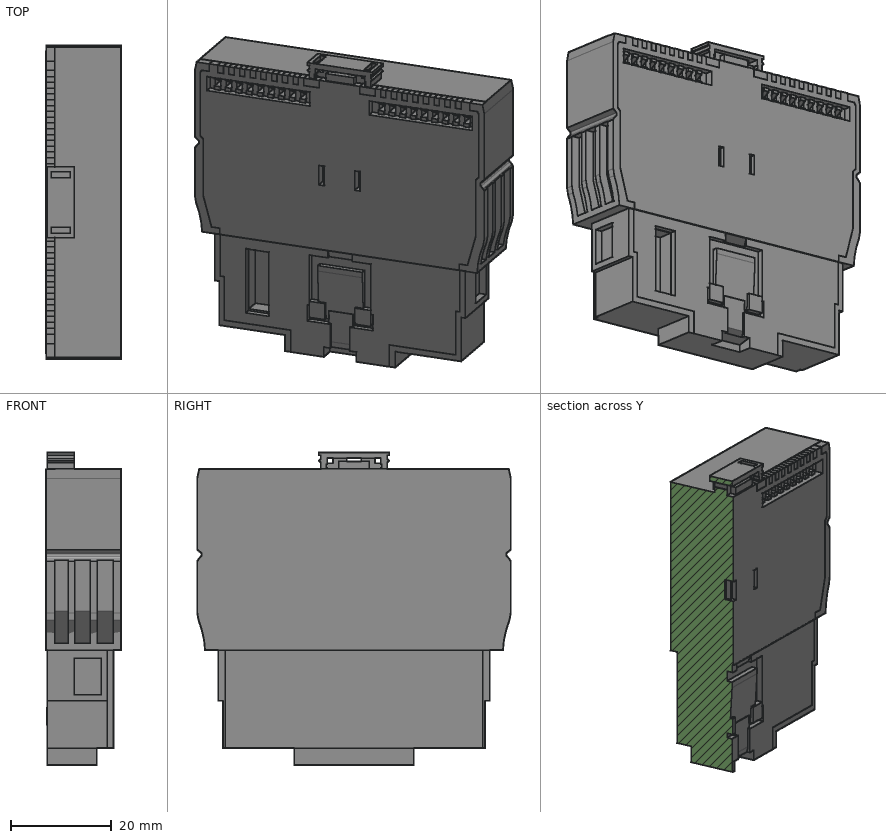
import cadquery as cq


THICKNESS = 14.9
HALF_WIDTH = 31.1
TOTAL_HEIGHT = 62.0
HOUSING_TOP = 58.75
HOUSING_BOTTOM = 22.8

TOP_HALF_WIDTH = 30.7
TOP_SLOPE_Z = 56.9
NOTCH_TOP_Z = 42.75
NOTCH_APEX_Z = 41.75
NOTCH_BOTTOM_Z = 40.9
NOTCH_DEPTH = 0.9
NOTCH_ROUND_DEPTH = 0.755
NOTCH_ROUND_HALF_HEIGHT = 0.35
NOTCH_CHAMFER_DEPTH = 0.3
NOTCH_CHAMFER_Z = 40.45
TAPER_START_Z = 30.2
TAPER_CURVE_START = (30.85, 28.8)
TAPER_CURVE_MIDDLE = (30.1, 26.5)
HOUSING_FOOT_HALF_WIDTH = 29.55

RIM_RECESS = 0.04
COVER_TOP_Z = 57.1
COVER_HALF_WIDTH = 29.95
COVER_CORNER = 0.35
COVER_STEP_Z = 43.2
COVER_STEP_WIDTH = 0.65
COVER_TAPER_Z = 30.6
COVER_FOOT_HALF_WIDTH = 27.5
COVER_FOOT_Z = 24.15
COVER_STEM_HALF_WIDTH = 25.75
FINGER_LENGTH = 1.8
FINGER_RISE = 0.04
FINGER_DROP = 0.04
FINGER_PITCH = 2.3
FINGER_COUNT = 8
FINGER_WIDTH = 1.15
FIRST_FINGER_Y = 8.25
OUTER_FINGER_Y = 27.1
OUTER_FINGER_WIDTH = 1.8
CENTER_FINGER_WIDTH = 8.7

WINDOW_INNER_Y = 6.35
WINDOW_OUTER_Y = 28.5
WINDOW_BOTTOM_Z = 52.95
WINDOW_TOP_Z = 55.9
WINDOW_DEPTH = 1.7
TERMINAL_COUNT = 9
TERMINAL_PITCH = 2.29
FIRST_TERMINAL_Y = 8.45
TERMINAL_WIDTH = 1.2
TERMINAL_FACE_X = 1.2
FUNNEL_BOTTOM_Z = 53.7
FUNNEL_TOP_Z = 55.25
FUNNEL_DEPTH = 3.0

SLOT_Y = 3.85
SLOT_WIDTH = 1.15
SLOT_BOTTOM_Z = 36.5
SLOT_HEIGHT = 4.1
SLOT_DEPTH = 2.0
SLOT_STEP_DEPTH = 1.0
SLOT_STEP_WIDTH = 0.5

GRIP_CHANNELS = [(1.75, 4.4), (5.75, 8.8), (10.2, 13.3)]
GRIP_TOP_Z = 40.6
GRIP_FLOOR_Y = COVER_HALF_WIDTH - COVER_STEP_WIDTH

LOWER_FRONT_X = 0.26
LOWER_MAIN_X = 12.15
LOWER_BACK_X = 13.4
LOWER_HALF_WIDTH = 26.95
LOWER_STEP_Z = 12.75
LOWER_STEP_HALF_WIDTH = 26.0
BACK_HALF_WIDTH = 25.5
LOWER_BOTTOM_Z = 3.4
FOOT_HALF_WIDTH = 11.85
FOOT_BACK_X = 10.1
PANEL_STEP_Z = 13.9
PANEL_STEP_HALF_WIDTH = 24.9
PANEL_BOTTOM_Z = 4.65
PANEL_FOOT_HALF_WIDTH = 10.55
END_POCKET_X = (5.6, 11.0)
END_POCKET_Z = (14.0, 21.2)
END_POCKET_DEPTH = 1.5

LABEL_Y = (15.3, 20.25)
LABEL_Z = (6.9, 20.5)
LABEL_STEP = 0.1
LABEL_SILL = 0.4
LABEL_STEP_DEPTH = 1.6
LABEL_DEPTH = 5.0

CAVITY_DEPTH_X = 1.5
CAVITY_HALF_WIDTH = 6.6
CAVITY_Z = (7.15, 21.2)
CAVITY_SIDE_HALF_WIDTH = 7.05
CAVITY_SIDE_TOP_Z = 10.5
PRY_SLOT_HALF_WIDTH = 2.6
PRY_SLOT_DEPTH = 0.7
LATCH_HALF_WIDTH = 4.8
LATCH_TOP_Z = 19.2
LATCH_EDGE_Z = 18.1
LATCH_EDGE_X = 0.3
LATCH_FOOT_X = 0.9
TAB_X = 0.2
TAB_Y = (3.25, 6.6)
TAB_Z = (8.0, 11.4)
TONGUE_TOP_Z = 9.8
GUIDE_HALF_WIDTH = 2.1
GUIDE_X = 0.7
GUIDE_FOOT_X = 0.95
GUIDE_SLOPE_Z = 3.35
MOUTH_HALF_WIDTH = 3.5
MOUTH_TOP_Z = 2.1
MOUTH_LIP_Z = 1.5
MOUTH_X = 3.5

PLUG_X = (0.25, 5.65)
PLUG_HALF_WIDTH = 6.6
PLUG_FLANGE = 0.4
PLUG_FLANGE_Z = 61.4
PLUG_RIB_Z = 60.35
PLUG_RIB_HALF_HEIGHT = 0.35
PLUG_OPENING_HALF_WIDTH = 5.3
PLUG_OPENING_TOP_Z = 60.85
PLUG_GROOVE = 0.2
PLUG_GROOVE_Z = (59.0, 59.7)
PLUG_FLOOR_Z = 59.9
PLUG_CORE_HALF_WIDTH = 3.0
PLUG_CORE_Z = 60.25
PLUG_PILLAR_Y = (1.4, 4.2)
PLUG_PILLAR_X = (1.5, 4.5)
PLUG_SLOT_X = (1.05, 4.8)
PLUG_SLOT_Y = (4.9, 6.1)
PLUG_SLOT_DEPTH = 0.9

SIDES = (1, -1)


def box(x, y, z):
    """Axis-aligned box from (low, high) pairs."""
    size = (x[1] - x[0], abs(y[1] - y[0]), z[1] - z[0])
    return cq.Workplane("XY").box(*size, centered=False).translate((x[0], min(y), z[0]))


def mirrored_box(x, y, z):
    """A box and its mirror image about Y = 0."""
    return box(x, y, z).union(box(x, (-y[0], -y[1]), z))


def prism_x(points, x_start, x_end):
    """Extrude a closed (Y, Z) polygon along X."""
    return cq.Workplane("YZ", origin=(x_start, 0, 0)).polyline(points).close().extrude(x_end - x_start)


def prism_y(points, half_width):
    """Extrude a closed (X, Z) polygon by the same amount to both sides of Y = 0."""
    return cq.Workplane("XZ").polyline(points).close().extrude(half_width, both=True)


def symmetric(points):
    """Complete a half outline, listed for positive Y, with its mirror image."""
    return points + [(-y, z) for y, z in reversed(points)]


def centered(half_width):
    return (-half_width, half_width)


def housing_half(x_start, x_end):
    """Positive-Y half of the housing: sloped top edge, rounded V notch and curved lower taper."""
    round_y = HALF_WIDTH - NOTCH_ROUND_DEPTH
    round_top_z = NOTCH_APEX_Z + NOTCH_ROUND_HALF_HEIGHT
    round_bottom_z = NOTCH_APEX_Z - NOTCH_ROUND_HALF_HEIGHT
    apex = (HALF_WIDTH - NOTCH_DEPTH, NOTCH_APEX_Z)
    return (
        cq.Workplane("YZ", origin=(x_start, 0, 0))
        .moveTo(0, HOUSING_TOP)
        .lineTo(TOP_HALF_WIDTH, HOUSING_TOP)
        .lineTo(HALF_WIDTH, TOP_SLOPE_Z)
        .lineTo(HALF_WIDTH, NOTCH_TOP_Z)
        .lineTo(round_y, round_top_z)
        .threePointArc(apex, (round_y, round_bottom_z))
        .lineTo(HALF_WIDTH - NOTCH_CHAMFER_DEPTH, NOTCH_BOTTOM_Z)
        .lineTo(HALF_WIDTH, NOTCH_CHAMFER_Z)
        .lineTo(HALF_WIDTH, TAPER_START_Z)
        .lineTo(*TAPER_CURVE_START)
        .threePointArc(TAPER_CURVE_MIDDLE, (HOUSING_FOOT_HALF_WIDTH, HOUSING_BOTTOM))
        .lineTo(0, HOUSING_BOTTOM)
        .close()
        .extrude(x_end - x_start)
    )


def make_cover():
    """Raised cover panel and the fingers that reach from it over the top edge."""
    step_half_width = COVER_HALF_WIDTH - COVER_STEP_WIDTH
    outline = symmetric([
        (COVER_HALF_WIDTH - COVER_CORNER, COVER_TOP_Z),
        (COVER_HALF_WIDTH, TOP_SLOPE_Z - COVER_CORNER),
        (COVER_HALF_WIDTH, COVER_STEP_Z),
        (step_half_width, COVER_STEP_Z - COVER_STEP_WIDTH),
        (step_half_width, COVER_TAPER_Z),
        (COVER_FOOT_HALF_WIDTH, COVER_FOOT_Z),
        (COVER_STEM_HALF_WIDTH, COVER_FOOT_Z),
        (COVER_STEM_HALF_WIDTH, HOUSING_BOTTOM),
    ])
    cover = prism_x(outline, 0, FINGER_LENGTH)
    fingers = [(0, CENTER_FINGER_WIDTH)]
    for side in SIDES:
        fingers.append((side * OUTER_FINGER_Y, OUTER_FINGER_WIDTH))
        for i in range(FINGER_COUNT):
            fingers.append((side * (FIRST_FINGER_Y + i * FINGER_PITCH), FINGER_WIDTH))
    finger_z = (COVER_TOP_Z, HOUSING_TOP - FINGER_DROP)
    for y, width in fingers:
        span = (y - width / 2, y + width / 2)
        cover = cover.union(box((0, FINGER_LENGTH), span, finger_z))
    return cover


def make_housing():
    half = housing_half(RIM_RECESS, THICKNESS)
    housing = half.union(half.mirror("XZ"))
    ledge = (HOUSING_TOP - FINGER_DROP - FINGER_RISE, HOUSING_TOP)
    housing = housing.cut(box((0, FINGER_LENGTH), centered(HALF_WIDTH), ledge))
    return housing.union(make_cover())


def grip_channels():
    """Cutters for the channels in both ends; their floor bends inward at the bottom."""
    profile = [
        (HALF_WIDTH, GRIP_TOP_Z),
        (GRIP_FLOOR_Y, GRIP_TOP_Z),
        (GRIP_FLOOR_Y, COVER_TAPER_Z),
        (COVER_FOOT_HALF_WIDTH, COVER_FOOT_Z),
        (HALF_WIDTH, COVER_FOOT_Z),
    ]
    cutters = cq.Workplane()
    for x_start, x_end in GRIP_CHANNELS:
        channel = prism_x(profile, x_start, x_end)
        cutters = cutters.add(channel).add(channel.mirror("XZ"))
    return cutters.combine()


def terminal_windows(side):
    """Cutter for one window, leaving the row of terminal posts with their funnels."""
    window_z = (WINDOW_BOTTOM_Z, WINDOW_TOP_Z)
    cutter = box((0, WINDOW_DEPTH), (side * WINDOW_INNER_Y, side * WINDOW_OUTER_Y), window_z)
    funnel = [
        (TERMINAL_FACE_X, FUNNEL_BOTTOM_Z),
        (TERMINAL_FACE_X, FUNNEL_TOP_Z),
        (TERMINAL_FACE_X + FUNNEL_DEPTH, FUNNEL_BOTTOM_Z),
    ]
    for i in range(TERMINAL_COUNT):
        y = side * (FIRST_TERMINAL_Y + i * TERMINAL_PITCH)
        span = (y - TERMINAL_WIDTH / 2, y + TERMINAL_WIDTH / 2)
        cutter = cutter.cut(box((TERMINAL_FACE_X, WINDOW_DEPTH), span, window_z))
        cutter = cutter.union(prism_y(funnel, TERMINAL_WIDTH / 2).translate((0, y, 0)))
    return cutter


def cover_slot(side):
    """Cutter for one small slot, stepped in depth."""
    z = (SLOT_BOTTOM_Z, SLOT_BOTTOM_Z + SLOT_HEIGHT)
    left = side * SLOT_Y + SLOT_WIDTH / 2
    right = left - SLOT_WIDTH
    shallow = box((0, SLOT_STEP_DEPTH), (right, left), z)
    return shallow.union(box((0, SLOT_DEPTH), (right + SLOT_STEP_WIDTH, left), z))


def make_lower_body():
    outer = [
        (LOWER_HALF_WIDTH, HOUSING_BOTTOM),
        (LOWER_HALF_WIDTH, LOWER_STEP_Z),
        (LOWER_STEP_HALF_WIDTH, LOWER_STEP_Z),
        (LOWER_STEP_HALF_WIDTH, LOWER_BOTTOM_Z),
    ]
    panel = [
        (COVER_STEM_HALF_WIDTH, HOUSING_BOTTOM),
        (COVER_STEM_HALF_WIDTH, PANEL_STEP_Z),
        (PANEL_STEP_HALF_WIDTH, PANEL_STEP_Z),
        (PANEL_STEP_HALF_WIDTH, PANEL_BOTTOM_Z),
        (PANEL_FOOT_HALF_WIDTH, PANEL_BOTTOM_Z),
        (PANEL_FOOT_HALF_WIDTH, 0),
    ]
    foot = [(FOOT_HALF_WIDTH, PANEL_BOTTOM_Z), (FOOT_HALF_WIDTH, 0)]
    rim_x = LOWER_FRONT_X + RIM_RECESS
    body = prism_x(symmetric(outer), rim_x, LOWER_MAIN_X)
    body = body.union(prism_x(symmetric(foot), rim_x, FOOT_BACK_X))
    body = body.union(prism_x(symmetric(panel), LOWER_FRONT_X, FOOT_BACK_X))
    back_z = (LOWER_BOTTOM_Z, HOUSING_BOTTOM)
    body = body.union(box((LOWER_MAIN_X, LOWER_BACK_X), centered(BACK_HALF_WIDTH), back_z))
    pocket_y = (LOWER_HALF_WIDTH - END_POCKET_DEPTH, LOWER_HALF_WIDTH)
    return body.cut(mirrored_box(END_POCKET_X, pocket_y, END_POCKET_Z))


def label_pocket():
    """Cutter for the stepped rectangular pocket on the positive-Y side."""
    inner_y = (LABEL_Y[0] + LABEL_STEP, LABEL_Y[1] - LABEL_STEP)
    inner_z = (LABEL_Z[0] + LABEL_SILL, LABEL_Z[1] - LABEL_STEP)
    return box((0, LABEL_STEP_DEPTH), LABEL_Y, LABEL_Z).union(box((0, LABEL_DEPTH), inner_y, inner_z))


def cut_latch_cavity(body):
    cavity_x = (0, CAVITY_DEPTH_X)
    side_z = (CAVITY_Z[0], CAVITY_SIDE_TOP_Z)
    pry_z = (CAVITY_Z[1], HOUSING_BOTTOM)
    body = body.cut(box(cavity_x, centered(CAVITY_HALF_WIDTH), CAVITY_Z))
    body = body.cut(box(cavity_x, centered(CAVITY_SIDE_HALF_WIDTH), side_z))
    pry_x = (LOWER_FRONT_X, LOWER_FRONT_X + PRY_SLOT_DEPTH)
    pry_slot = [(pry_x[0], pry_z[0]), (pry_x[0], pry_z[1]), (pry_x[1], pry_z[0])]
    body = body.cut(prism_y(pry_slot, PRY_SLOT_HALF_WIDTH))
    guide = [
        (0, CAVITY_Z[0]),
        (GUIDE_X, CAVITY_Z[0]),
        (GUIDE_X, GUIDE_SLOPE_Z),
        (GUIDE_FOOT_X, MOUTH_TOP_Z),
        (0, MOUTH_TOP_Z),
    ]
    body = body.cut(prism_y(guide, GUIDE_HALF_WIDTH))
    mouth = [(0, 0), (0, MOUTH_TOP_Z), (GUIDE_FOOT_X, MOUTH_TOP_Z), (MOUTH_X, MOUTH_LIP_Z), (MOUTH_X, 0)]
    return body.cut(prism_y(mouth, MOUTH_HALF_WIDTH))


def make_latch():
    """Leaning latch plate, two retaining tabs and the tongue in front of it."""
    plate = prism_y([
        (CAVITY_DEPTH_X, LATCH_TOP_Z),
        (LATCH_EDGE_X, LATCH_TOP_Z),
        (LATCH_EDGE_X, LATCH_EDGE_Z),
        (LATCH_FOOT_X, TAB_Z[0]),
        (CAVITY_DEPTH_X, TAB_Z[0]),
    ], LATCH_HALF_WIDTH)
    tabs = mirrored_box((TAB_X, CAVITY_DEPTH_X), TAB_Y, TAB_Z)
    tongue_z = (CAVITY_Z[0], TONGUE_TOP_Z)
    tongue = box((GUIDE_X, CAVITY_DEPTH_X), centered(PRY_SLOT_HALF_WIDTH), tongue_z)
    return plate.union(tabs).union(tongue)


def make_plug():
    """Bridge-shaped plug on top of the housing, open along X."""
    flange_half_width = PLUG_HALF_WIDTH + PLUG_FLANGE
    outline = symmetric([
        (flange_half_width, TOTAL_HEIGHT),
        (flange_half_width, PLUG_FLANGE_Z),
        (PLUG_HALF_WIDTH, PLUG_FLANGE_Z),
        (PLUG_HALF_WIDTH, PLUG_RIB_Z + PLUG_RIB_HALF_HEIGHT),
        (flange_half_width, PLUG_RIB_Z),
        (PLUG_HALF_WIDTH, PLUG_RIB_Z - PLUG_RIB_HALF_HEIGHT),
        (PLUG_HALF_WIDTH, HOUSING_TOP),
    ])
    opening_z = (HOUSING_TOP, PLUG_OPENING_TOP_Z)
    groove_half_width = PLUG_OPENING_HALF_WIDTH + PLUG_GROOVE
    plug = prism_x(outline, *PLUG_X)
    plug = plug.cut(box(PLUG_X, centered(PLUG_OPENING_HALF_WIDTH), opening_z))
    plug = plug.cut(box(PLUG_X, centered(groove_half_width), PLUG_GROOVE_Z))
    core_z = (HOUSING_TOP, PLUG_CORE_Z)
    floor_z = (HOUSING_TOP, PLUG_FLOOR_Z)
    plug = plug.union(box(PLUG_X, centered(PLUG_CORE_HALF_WIDTH), core_z))
    plug = plug.union(box(PLUG_PILLAR_X, centered(groove_half_width), floor_z))
    plug = plug.union(mirrored_box(PLUG_PILLAR_X, PLUG_PILLAR_Y, opening_z))
    slot_z = (TOTAL_HEIGHT - PLUG_SLOT_DEPTH, TOTAL_HEIGHT)
    return plug.cut(mirrored_box(PLUG_SLOT_X, PLUG_SLOT_Y, slot_z))


housing = make_housing().cut(grip_channels())
for side in SIDES:
    housing = housing.cut(terminal_windows(side)).cut(cover_slot(side))

lower_body = cut_latch_cavity(make_lower_body().cut(label_pocket()))

result = housing.union(lower_body).union(make_latch()).union(make_plug())